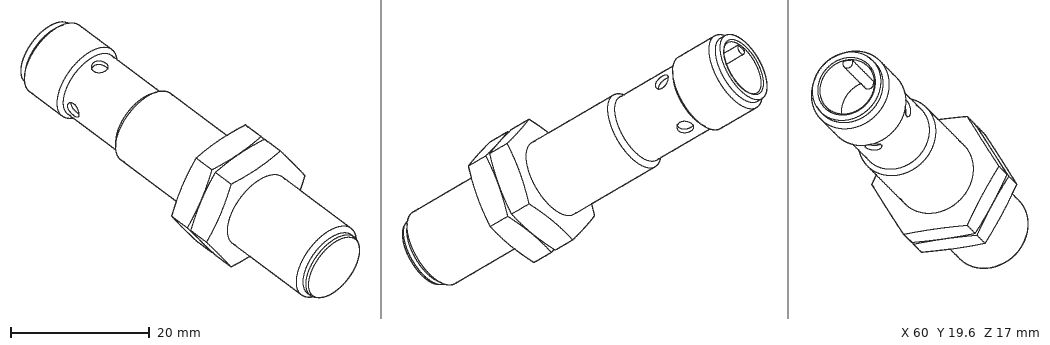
import cadquery as cq
import math

length = 60.0
rim_end = 0.9
collar_start = 1.5
collar_end = 8.35
neck_start = 8.9
neck_end = 19.85
thread_start = 20.6
thread_end = 58.4
tip_start = 59.05
tip_chamfer_length = 0.35
tip_chamfer_depth = 0.2

thread_radius = 6.0
neck_radius = 5.3

socket_radius = 4.2
socket_depth = 9.0
socket_chamfer = 0.25
key_width = 1.45
key_tip_height = 3.0
key_setback = 0.5

window_radius = 1.2
window_x = 11.0
window_floor_radius = 4.55
window_count = 4

nut_sides = 6
nut_across_flats = 17.0
nut_thickness = 4.0
nut_face_radius = 8.4
nut_chamfer_length = 0.35
first_nut_x = 35.95
nut_count = 2


def revolve_about_x(profile):
    """Turn a closed (x, radius) outline once around the X axis."""
    return cq.Workplane("XY").polyline(profile).close().revolve(360, (0, 0, 0), (1, 0, 0))


def make_barrel_blank():
    return revolve_about_x([
        (0, 0),
        (0, neck_radius),
        (rim_end, neck_radius),
        (collar_start, thread_radius),
        (collar_end, thread_radius),
        (neck_start, neck_radius),
        (neck_end, neck_radius),
        (thread_start, thread_radius),
        (thread_end, thread_radius),
        (tip_start, neck_radius),
        (length - tip_chamfer_length, neck_radius),
        (length, neck_radius - tip_chamfer_depth),
        (length, 0),
    ])


def make_socket():
    """Round blind bore with a chamfered mouth."""
    return revolve_about_x([
        (0, 0),
        (0, socket_radius + socket_chamfer),
        (socket_chamfer, socket_radius),
        (socket_depth, socket_radius),
        (socket_depth, 0),
    ])


def make_key():
    """Round-nosed coding rib along the top of the socket."""
    key_radius = key_width / 2
    nose_height = key_tip_height + key_radius
    root_height = (socket_radius + neck_radius) / 2
    return (
        cq.Workplane("YZ", origin=(key_setback, 0, 0))
        .moveTo(-key_radius, root_height)
        .lineTo(-key_radius, nose_height)
        .threePointArc((0, key_tip_height), (key_radius, nose_height))
        .lineTo(key_radius, root_height)
        .close()
        .extrude(socket_depth - key_setback)
    )


def make_window_recess(angle):
    """Shallow round recess whose floor follows a cylinder about the barrel axis."""
    drill = cq.Workplane("XY").center(window_x, 0).circle(window_radius).extrude(thread_radius)
    core = cq.Workplane("YZ").circle(window_floor_radius).extrude(neck_end)
    return drill.cut(core).rotate((0, 0, 0), (1, 0, 0), angle)


def make_barrel():
    barrel = make_barrel_blank().cut(make_socket()).union(make_key())
    for index in range(window_count):
        barrel = barrel.cut(make_window_recess(index * 360 / window_count))
    return barrel


def make_nut(start_x):
    """Hexagonal nut with both faces chamfered, bored to fit the barrel."""
    corner_radius = nut_across_flats / 2 / math.cos(math.pi / nut_sides)
    hexagon = cq.Workplane("YZ").polygon(nut_sides, 2 * corner_radius).extrude(nut_thickness)
    chamfer_envelope = revolve_about_x([
        (0, 0),
        (0, nut_face_radius),
        (nut_chamfer_length, corner_radius),
        (nut_thickness - nut_chamfer_length, corner_radius),
        (nut_thickness, nut_face_radius),
        (nut_thickness, 0),
    ])
    bore = cq.Workplane("YZ").circle(thread_radius).extrude(nut_thickness)
    return hexagon.intersect(chamfer_envelope).cut(bore).translate((start_x, 0, 0))


barrel = make_barrel()
nuts = [make_nut(first_nut_x + index * nut_thickness) for index in range(nut_count)]

result = cq.Compound.makeCompound([barrel.val(), *[nut.val() for nut in nuts]])